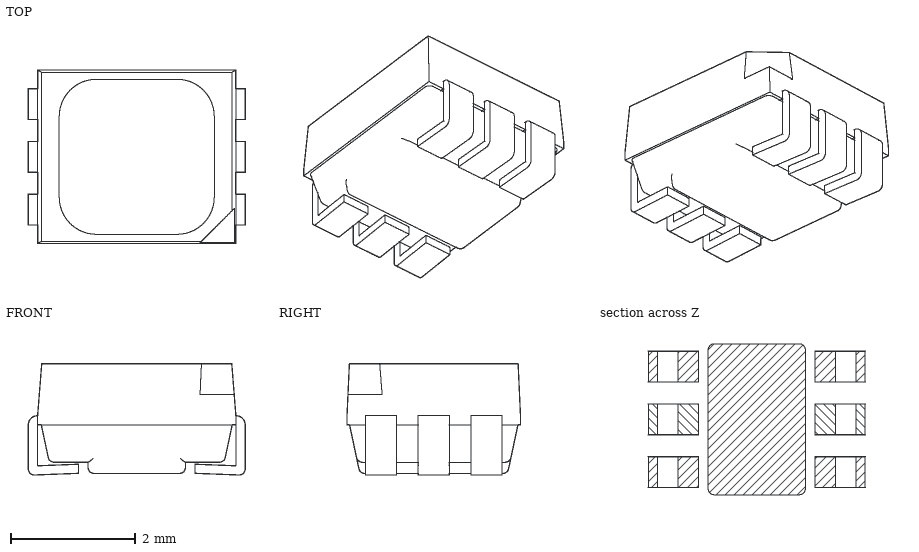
import cadquery as cq
import math

overall_length = 3.5
overall_height = 1.8

lead_thickness = 0.15
lead_width = 0.5
lead_pitch = 0.85
lead_count = 3
lead_tip_x = 0.938
foot_rise_angle = 2.2
foot_bend_radius = 0.1

band_length = overall_length - 2 * lead_thickness
band_width = 2.8
band_bottom = 0.81
band_top = band_bottom + lead_thickness
top_end_inset = 0.065
top_side_inset = 0.04
top_length = band_length - 2 * top_end_inset
top_width = band_width - 2 * top_side_inset

base_end_inset = 0.06
base_side_inset = 0.042
base_length = band_length - 2 * base_end_inset
base_width = band_width - 2 * base_side_inset
base_draft = 12.0
ledge_z = 0.205
pedestal_z = 0.025
pedestal_length = 1.575
base_fillet = 0.1

notch_depth = 0.5
notch_offset = 2.405

lens_side = 2.5
lens_corner_radius = 0.6


def rectangle_loft(length, width, z, end_length, end_width, end_z):
    """Solid that runs from one centred rectangle to another."""
    return (
        cq.Workplane("XY", origin=(0, 0, z))
        .rect(length, width)
        .workplane(offset=end_z - z)
        .rect(end_length, end_width)
        .loft(ruled=True)
    )


def tapered_base(length, bottom_z, drafted_ends):
    """Part of the underside, narrowing downward, with all lower edges rounded."""
    inset = (band_bottom - bottom_z) * math.tan(math.radians(base_draft))
    end_inset = inset if drafted_ends else 0
    block = rectangle_loft(
        length, base_width, band_bottom,
        length - 2 * end_inset, base_width - 2 * inset, bottom_z,
    )
    return block.edges("not >Z").fillet(base_fillet)


def make_corner_notch():
    """Triangular prism that removes the +X, -Y corner of the top."""
    reach_x = overall_length
    reach_y = -overall_length
    return (
        cq.Workplane("XY", origin=(0, 0, overall_height - notch_depth))
        .polyline([
            (notch_offset + reach_y, reach_y),
            (reach_x, reach_y),
            (reach_x, reach_x - notch_offset),
        ])
        .close()
        .extrude(notch_depth)
    )


def make_lens():
    """Rounded square block, flush with the top of the housing."""
    return (
        cq.Workplane("XY", origin=(0, 0, band_top))
        .rect(lens_side, lens_side)
        .extrude(overall_height - band_top)
        .edges("|Z")
        .fillet(lens_corner_radius)
    )


def make_lead_end():
    """Left half of a lead: bar, leg and slightly rising foot."""
    outer_x = -overall_length / 2
    inner_x = outer_x + lead_thickness
    rise = math.radians(foot_rise_angle)
    slope = math.tan(rise)
    corner_z = foot_bend_radius * (1 - slope - 1 / math.cos(rise))
    tip_bottom = corner_z + (overall_length / 2 - lead_tip_x) * slope
    inner_z = corner_z + lead_thickness + lead_thickness * slope
    return (
        cq.Workplane("XZ")
        .moveTo(0, band_top)
        .lineTo(inner_x, band_top)
        .radiusArc((outer_x, band_bottom), -lead_thickness)
        .lineTo(outer_x, corner_z)
        .lineTo(-lead_tip_x, tip_bottom)
        .lineTo(-lead_tip_x, tip_bottom + lead_thickness)
        .lineTo(inner_x, inner_z)
        .lineTo(inner_x, band_bottom)
        .lineTo(0, band_bottom)
        .close()
        .extrude(lead_width / 2, both=True)
        .edges(cq.selectors.NearestToPointSelector((outer_x, 0, corner_z)))
        .fillet(foot_bend_radius)
    )


def make_lead(y):
    """One complete lead, symmetric about x = 0."""
    left_end = make_lead_end()
    return left_end.union(left_end.mirror("YZ")).translate((0, y, 0))


def make_housing(lens, leads):
    """Moulded body with the lens cavity and the lead passages cut out."""
    upper = rectangle_loft(band_length, band_width, band_top, top_length, top_width, overall_height)
    band = (
        cq.Workplane("XY", origin=(0, 0, band_bottom))
        .rect(band_length, band_width)
        .extrude(lead_thickness)
    )
    body = (
        upper.union(band)
        .union(tapered_base(base_length, ledge_z, drafted_ends=True))
        .union(tapered_base(pedestal_length, pedestal_z, drafted_ends=False))
        .cut(make_corner_notch())
        .cut(lens)
    )
    for lead in leads:
        body = body.cut(lead)
    return body


lens = make_lens()
leads = [make_lead((i - (lead_count - 1) / 2) * lead_pitch) for i in range(lead_count)]
housing = make_housing(lens, leads)

result = cq.Compound.makeCompound([housing.val(), lens.val(), *[lead.val() for lead in leads]])